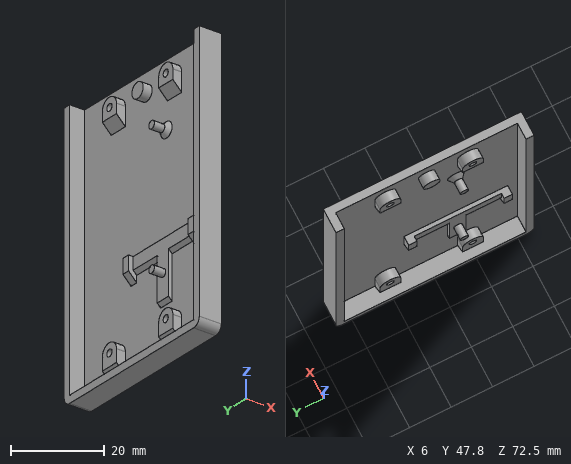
import cadquery as cq

DEPTH = 6.0
WIDTH = 47.8
HEIGHT = 72.45
WALL = 2.0
CORNER_RADIUS = 2.0

RIM_X = -DEPTH / 2
FLOOR_X = DEPTH / 2 - WALL
CAVITY_DEPTH = FLOOR_X - RIM_X
TOP_Z = HEIGHT / 2
BOTTOM_Z = -HEIGHT / 2

BOSS_WIDTH = 5.0
BOSS_HEIGHT = 2.4
BOSS_HOLE_DIAMETER = 1.8
BOSS_Y = 9.95
UPPER_BOSS_Z = TOP_Z - 5.2
UPPER_BOSS_DROP = 2.55
BOSS_SPACING_Z = 59.5
LOWER_BOSS_Z = UPPER_BOSS_Z - BOSS_SPACING_Z
LOWER_BOSS_DROP = LOWER_BOSS_Z - (BOTTOM_Z + WALL) - BOSS_HEIGHT

PAD_DIAMETER = 4.0

PIN_DIAMETER = 2.0
PIN_LENGTH = CAVITY_DEPTH
PIN_Y = -7.05
UPPER_PIN_Z = BOTTOM_Z + 55.45
LOWER_PIN_Z = BOTTOM_Z + 20.45
CONE_DIAMETER = 4.0
CONE_HEIGHT = 1.2

TEE_WIDTH = 25.0
TEE_HEIGHT = 0.95
TEE_TOP_Z = BOTTOM_Z + 28.85
CROSSBAR_FLAT = 3.3
STEM_WIDTH = 4.0
STEM_FLAT = 14.8
TAB_WIDTH = 2.0
TAB_HEIGHT = 2.2
TAB_FLAT = 3.85


def floor_plane(y, z):
    """Plane on the tray floor at (y, z): local x is +Y, local y is -Z, normal is -X."""
    return cq.Workplane(cq.Plane(origin=(FLOOR_X, y, z), xDir=(0, 1, 0), normal=(-1, 0, 0)))


def cylinder(y, z, diameter, length):
    return floor_plane(y, z).circle(diameter / 2).extrude(length)


def ramped_block(y, top_z, width, height, flat):
    """Block centred on y, running down from top_z, ending in a 45 degree ramp to the floor."""
    return (
        cq.Workplane("XZ", origin=(FLOOR_X, y, top_z))
        .lineTo(-height, 0)
        .lineTo(-height, -flat)
        .lineTo(0, -flat - height)
        .close()
        .extrude(width / 2, both=True)
    )


def make_tray():
    shell = cq.Workplane("XY").box(DEPTH, WIDTH, HEIGHT)
    shell = shell.edges("|X and <Z").fillet(CORNER_RADIUS)
    cavity = (
        cq.Workplane("XY")
        .box(CAVITY_DEPTH, WIDTH - 2 * WALL, HEIGHT - WALL, centered=(False, True, False))
        .translate((RIM_X, 0, BOTTOM_Z + WALL))
    )
    return shell.cut(cavity)


def make_boss(y, z, drop):
    boss = cylinder(y, z, BOSS_WIDTH, BOSS_HEIGHT)
    boss = boss.union(ramped_block(y, z, BOSS_WIDTH, BOSS_HEIGHT, drop))
    return boss.cut(cylinder(y, z, BOSS_HOLE_DIAMETER, BOSS_HEIGHT))


def make_pin_cone():
    cone = cq.Solid.makeCone(
        CONE_DIAMETER / 2,
        PIN_DIAMETER / 2,
        CONE_HEIGHT,
        pnt=cq.Vector(FLOOR_X, PIN_Y, UPPER_PIN_Z),
        dir=cq.Vector(-1, 0, 0),
    )
    return cq.Workplane(cone)


def make_tee():
    tee = ramped_block(PIN_Y, TEE_TOP_Z, TEE_WIDTH, TEE_HEIGHT, CROSSBAR_FLAT)
    tee = tee.union(ramped_block(PIN_Y, TEE_TOP_Z, STEM_WIDTH, TEE_HEIGHT, STEM_FLAT))
    tab_offset = (TEE_WIDTH - TAB_WIDTH) / 2
    for side in (-1, 1):
        tab_y = PIN_Y + side * tab_offset
        tee = tee.union(ramped_block(tab_y, TEE_TOP_Z, TAB_WIDTH, TAB_HEIGHT, TAB_FLAT))
    return tee


result = make_tray()
for boss_y in (-BOSS_Y, BOSS_Y):
    result = result.union(make_boss(boss_y, UPPER_BOSS_Z, UPPER_BOSS_DROP))
    result = result.union(make_boss(boss_y, LOWER_BOSS_Z, LOWER_BOSS_DROP))
result = result.union(cylinder(0, UPPER_BOSS_Z, PAD_DIAMETER, BOSS_HEIGHT))
result = result.union(make_tee())
result = result.union(make_pin_cone())
for pin_z in (UPPER_PIN_Z, LOWER_PIN_Z):
    result = result.union(cylinder(PIN_Y, pin_z, PIN_DIAMETER, PIN_LENGTH))